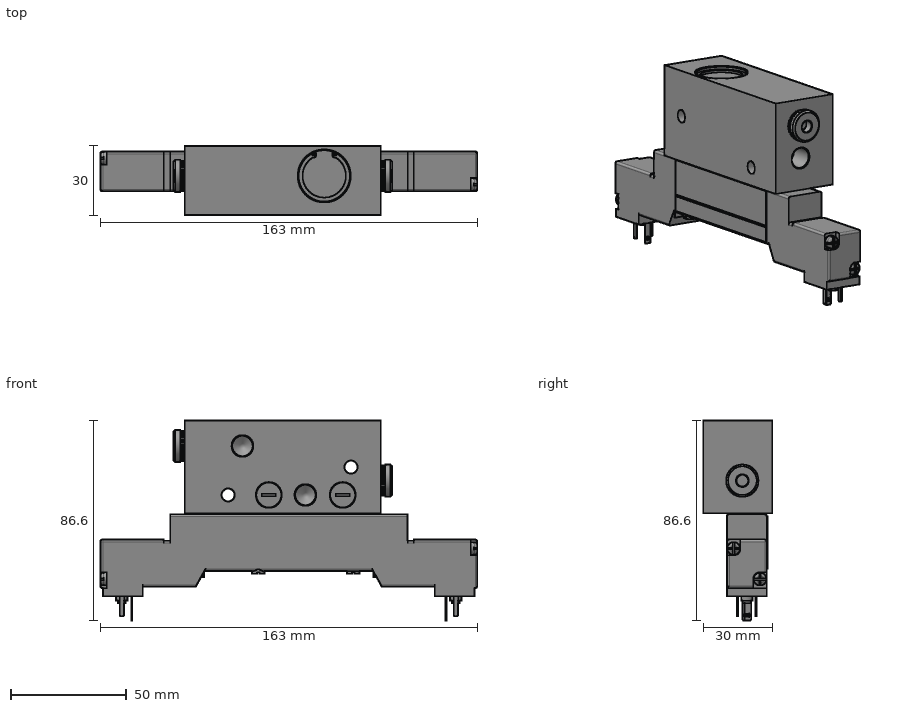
import cadquery as cq
import math


BLOCK_LEFT = -45.0
BLOCK_RIGHT = 39.8
BLOCK_DEPTH = 30.0
BLOCK_HEIGHT = 40.3
BLOCK_FRONT = -BLOCK_DEPTH / 2
PORT_AXIS_Y = 2.0
UPPER_AXIS_Z = 29.2
MIDDLE_AXIS_Z = 14.2
LOWER_AXIS_Z = 8.0

PORT_DIA = 8.8
PORT_RIM_DIA = 9.5
PORT_DEPTH = 11.4
PORT_TIP_ANGLE = 118
BOLT_HOLE_DIA = 5.5
BOLT_HOLES = ((-26.2, LOWER_AXIS_Z), (26.9, 20.0))
FRONT_PORTS = ((-20.0, UPPER_AXIS_Z), (7.2, LOWER_AXIS_Z))

FLUSH_PLUG_X = (-8.6, 23.3)
FLUSH_PLUG_DIA = 11.2
PLUG_GAP = 0.25
PLUG_GAP_DEPTH = 0.5
SLOT_LENGTH = 6.2
SLOT_WIDTH = 1.1
SLOT_DEPTH = 1.3

PLUG_HEAD_DIA = 14.0
PLUG_NECK_DIA = 13.2
PLUG_NECK_LENGTH = 2.0
PLUG_NECK_TEETH = 32
PLUG_TOOTH_DEPTH = 0.3
PLUG_HEAD_LENGTH = 3.0
PLUG_EDGE = 0.8
PLUG_SOCKET_DIA = 5.0
PLUG_SOCKET_RIM_DIA = 5.5
PLUG_SOCKET_DEPTH = 4.0

BORE_X = 15.3
BORE_RIM_DIA = 23.0
BORE_DIA = 22.2
BORE_DEPTH = 2.5
RING_INNER_DIA = 18.7
RING_THICKNESS = 1.0
RING_GAP_ANGLE = 54
RING_LUG_DIA = 2.5
RING_LUG_HOLE_DIA = 1.0

VALVE_FRONT = -4.7
VALVE_WIDTH = 17.3
VALVE_BACK = VALVE_FRONT + VALVE_WIDTH
VALVE_AXIS_Y = VALVE_FRONT + VALVE_WIDTH / 2
SHOULDER_X = 51.4
SHOULDER_TOP = -0.3
SHOULDER_BOTTOM = -31.8
SLOPE_OUTER_X = 40.3
SLOPE_INNER_X = 36.5
WAIST_X = 34.5
WAIST_BOTTOM = -25.0
EDGE_RADIUS = 1.0

BACK_PLATES = ((-16.6, -1.1), (-24.0, -17.3))
BACK_PLATE_THICKNESS = 0.5

LIP_THICKNESS = 0.7
LIP_BOTTOM = -27.5
BASE_SCREW_OFFSET_Y = 5.9
BASE_SCREWS = (
    (-13.2, VALVE_AXIS_Y - BASE_SCREW_OFFSET_Y),
    (27.9, VALVE_AXIS_Y + BASE_SCREW_OFFSET_Y),
)
BASE_SCREW_DIA = 5.5
BASE_SCREW_HEIGHT = 1.1
BASE_SLOT_WIDTH = 1.0
BASE_SLOT_DEPTH = 0.7

SOLENOID_END = 81.5
SOLENOID_TOP = -11.2
SOLENOID_BOTTOM = -31.8
COVER_BOTTOM = -32.3
CONNECTOR_OUTER_X = 80.4
CONNECTOR_INNER_X = 63.1
CONNECTOR_BOTTOM = -35.9
TOP_STEP_X = 54.1
TOP_STEP_Z = -11.7

CORNER_POCKET_WIDTH = 5.9
CORNER_POCKET_HEIGHT = 6.8
CORNER_POCKET_DEPTH = 2.8
CORNER_SCREW_DIA = 5.5
CORNER_SCREW_ROUNDING = 1.3
CROSS_WIDTH = 0.8
CROSS_DEPTH = 1.5

PIN_X = 72.2
PIN_SPACING = 8.0
PIN_WIDTH = 2.0
PIN_THICKNESS = 0.7
PIN_TIP = -44.5
BLADE_X = 68.0
BLADE_THICKNESS = 0.5
BLADE_WIDTH = 3.0
BLADE_OFFSET_Y = -0.5
BLADE_TIP = -46.3
BLADE_HOLE_DIA = 1.5
BLADE_HOLE_Z = -44.0
PIN_TIP_CHAMFER = 0.5
BOSS_STEPS = ((5.0, 1.8), (3.5, 3.0))

OVERLAP = 0.8


def box(x_range, y_range, z_range):
    """Box between the given x, y and z limits."""
    sizes = [abs(b - a) for a, b in (x_range, y_range, z_range)]
    low = [min(pair) for pair in (x_range, y_range, z_range)]
    return cq.Workplane("XY").box(*sizes, centered=False).translate(tuple(low))


def cylinder(diameter, length, base, direction):
    """Cylinder from a base point along a direction."""
    solid = cq.Solid.makeCylinder(diameter / 2, length, cq.Vector(*base), cq.Vector(*direction))
    return cq.Workplane(solid)


def rim_cone(rim_dia, hole_dia, base, direction):
    """45 degree countersink from a rim diameter down to the hole diameter."""
    depth = (rim_dia - hole_dia) / 2
    cone = cq.Solid.makeCone(rim_dia / 2, hole_dia / 2, depth, cq.Vector(*base), cq.Vector(*direction))
    return cq.Workplane(cone)


def drilled_hole(base, direction):
    """Port drill shape with a chamfered rim and a conical tip."""
    radius = PORT_DIA / 2
    tip_length = radius / math.tan(math.radians(PORT_TIP_ANGLE / 2))
    origin = cq.Vector(*base)
    axis = cq.Vector(*direction)
    cone = cq.Solid.makeCone(radius, 0, tip_length, origin + axis * PORT_DEPTH, axis)
    drill = cylinder(PORT_DIA, PORT_DEPTH, base, direction).union(cq.Workplane(cone))
    return drill.union(rim_cone(PORT_RIM_DIA, PORT_DIA, base, direction))


def manifold_block():
    block = box((BLOCK_LEFT, BLOCK_RIGHT), (BLOCK_FRONT, -BLOCK_FRONT), (0, BLOCK_HEIGHT))
    for x, z in FRONT_PORTS:
        block = block.cut(drilled_hole((x, BLOCK_FRONT, z), (0, 1, 0)))
    block = block.cut(drilled_hole((BLOCK_LEFT, PORT_AXIS_Y, MIDDLE_AXIS_Z), (1, 0, 0)))
    for x, z in BOLT_HOLES:
        block = block.cut(cylinder(BOLT_HOLE_DIA, BLOCK_DEPTH, (x, BLOCK_FRONT, z), (0, 1, 0)))
    for x in FLUSH_PLUG_X:
        block = block.cut(flush_plug_cut(x))
    bore_mouth = (BORE_X, PORT_AXIS_Y, BLOCK_HEIGHT)
    down = (0, 0, -1)
    block = block.cut(cylinder(BORE_DIA, BORE_DEPTH, bore_mouth, down))
    block = block.cut(rim_cone(BORE_RIM_DIA, BORE_DIA, bore_mouth, down))
    return block.union(retaining_ring(BLOCK_HEIGHT - BORE_DEPTH))


def flush_plug_cut(x):
    """Ring gap and screwdriver slot of a plug sitting flush in the front face."""
    base = (x, BLOCK_FRONT, LOWER_AXIS_Z)
    outer = cylinder(FLUSH_PLUG_DIA, PLUG_GAP_DEPTH, base, (0, 1, 0))
    inner = cylinder(FLUSH_PLUG_DIA - 2 * PLUG_GAP, PLUG_GAP_DEPTH, base, (0, 1, 0))
    slot = box(
        (x - SLOT_LENGTH / 2, x + SLOT_LENGTH / 2),
        (BLOCK_FRONT, BLOCK_FRONT + SLOT_DEPTH),
        (LOWER_AXIS_Z - SLOT_WIDTH / 2, LOWER_AXIS_Z + SLOT_WIDTH / 2),
    )
    return outer.cut(inner).union(slot)


def retaining_ring(floor_z):
    """Open ring on the bore floor, with its gap toward +Y and a lug at each end."""
    outer_radius = BORE_DIA / 2
    inner_radius = RING_INNER_DIA / 2
    half_gap = math.radians(RING_GAP_ANGLE / 2)
    reach = 2 * outer_radius
    gap = (
        cq.Workplane("XY")
        .moveTo(0, 0)
        .lineTo(-reach * math.sin(half_gap), reach * math.cos(half_gap))
        .lineTo(reach * math.sin(half_gap), reach * math.cos(half_gap))
        .close()
        .extrude(RING_THICKNESS)
    )
    ring = cq.Workplane("XY").circle(outer_radius).circle(inner_radius).extrude(RING_THICKNESS).cut(gap)
    lug_radius = (outer_radius + inner_radius) / 2
    lug_y = lug_radius * math.cos(half_gap)
    for lug_x in (-lug_radius * math.sin(half_gap), lug_radius * math.sin(half_gap)):
        ring = ring.union(cylinder(RING_LUG_DIA, RING_THICKNESS, (lug_x, lug_y, 0), (0, 0, 1)))
        ring = ring.cut(cylinder(RING_LUG_HOLE_DIA, RING_THICKNESS, (lug_x, lug_y, 0), (0, 0, 1)))
    return ring.translate((BORE_X, PORT_AXIS_Y, floor_z))


def serrated_neck():
    """Plug neck with V-shaped teeth running along its axis."""
    crest_radius = PLUG_NECK_DIA / 2
    root_radius = crest_radius - PLUG_TOOTH_DEPTH
    points = []
    for index in range(2 * PLUG_NECK_TEETH):
        radius = crest_radius if index % 2 == 0 else root_radius
        angle = math.pi * index / PLUG_NECK_TEETH
        points.append((radius * math.cos(angle), radius * math.sin(angle)))
    return cq.Workplane("XY").polyline(points).close().extrude(PLUG_NECK_LENGTH)


def screw_plug(face_x, z, side):
    """Screw plug standing on a block end; side is -1 for the left end, +1 for the right."""
    neck = serrated_neck()
    head = (
        cq.Workplane("XY", origin=(0, 0, PLUG_NECK_LENGTH))
        .circle(PLUG_HEAD_DIA / 2)
        .extrude(PLUG_HEAD_LENGTH)
        .faces(">Z")
        .chamfer(PLUG_EDGE)
    )
    socket_mouth = (0, 0, PLUG_NECK_LENGTH + PLUG_HEAD_LENGTH)
    down = (0, 0, -1)
    plug = (
        neck.union(head)
        .cut(cylinder(PLUG_SOCKET_DIA, PLUG_SOCKET_DEPTH, socket_mouth, down))
        .cut(rim_cone(PLUG_SOCKET_RIM_DIA, PLUG_SOCKET_DIA, socket_mouth, down))
    )
    return plug.rotate((0, 0, 0), (0, 1, 0), side * 90).translate((face_x, PORT_AXIS_Y, z))


def valve_body():
    outline = (
        (-SHOULDER_X, SHOULDER_TOP),
        (-SHOULDER_X, SHOULDER_BOTTOM),
        (-SLOPE_OUTER_X, SHOULDER_BOTTOM),
        (-SLOPE_INNER_X, WAIST_BOTTOM),
        (SLOPE_INNER_X, WAIST_BOTTOM),
        (SLOPE_OUTER_X, SHOULDER_BOTTOM),
        (SHOULDER_X, SHOULDER_BOTTOM),
        (SHOULDER_X, SHOULDER_TOP),
    )
    body = (
        cq.Workplane("XZ", origin=(0, VALVE_BACK, 0))
        .polyline(outline)
        .close()
        .extrude(VALVE_WIDTH)
        .edges("|X")
        .fillet(EDGE_RADIUS)
    )
    joint_y = (VALVE_FRONT + EDGE_RADIUS, VALVE_BACK - EDGE_RADIUS)
    body = body.union(box((-WAIST_X, WAIST_X), joint_y, (SHOULDER_TOP - OVERLAP, OVERLAP)))
    for bottom, top in BACK_PLATES:
        plate_y = (VALVE_BACK - OVERLAP, VALVE_BACK + BACK_PLATE_THICKNESS)
        body = body.union(box((-WAIST_X, WAIST_X), plate_y, (bottom, top)))
    for side in (-1, 1):
        lip_x = (side * SLOPE_INNER_X, side * (SLOPE_INNER_X + LIP_THICKNESS))
        body = body.union(box(lip_x, joint_y, (LIP_BOTTOM, WAIST_BOTTOM + OVERLAP)))
    for x, y in BASE_SCREWS:
        body = body.union(base_screw(x, y))
    return body


def base_screw(x, y):
    """Slotted screw head under the waist."""
    bottom = WAIST_BOTTOM - BASE_SCREW_HEIGHT
    head = cylinder(BASE_SCREW_DIA, BASE_SCREW_HEIGHT + OVERLAP, (x, y, bottom), (0, 0, 1))
    slot = box(
        (x - BASE_SLOT_WIDTH / 2, x + BASE_SLOT_WIDTH / 2),
        (y - BASE_SCREW_DIA / 2, y + BASE_SCREW_DIA / 2),
        (bottom, bottom + BASE_SLOT_DEPTH),
    )
    return head.cut(slot)


def solenoid():
    """Left solenoid with its cover screws, connector and pins."""
    valve_y = (VALVE_FRONT, VALVE_BACK)
    inner_x = -SHOULDER_X + OVERLAP
    end_cover = (
        box((-SOLENOID_END, -CONNECTOR_INNER_X), valve_y, (COVER_BOTTOM, SOLENOID_TOP))
        .faces("<X or >Z")
        .edges("not(>X)")
        .fillet(EDGE_RADIUS)
    )
    coil_x = (-CONNECTOR_INNER_X - OVERLAP, -TOP_STEP_X)
    coil = box(coil_x, valve_y, (SOLENOID_BOTTOM, SOLENOID_TOP)).edges("|X").fillet(EDGE_RADIUS)
    neck_x = (-TOP_STEP_X - OVERLAP, inner_x)
    neck = box(neck_x, valve_y, (SOLENOID_BOTTOM, TOP_STEP_Z)).edges("|X").fillet(EDGE_RADIUS)
    connector_x = (-CONNECTOR_OUTER_X, -CONNECTOR_INNER_X)
    connector = box(connector_x, valve_y, (CONNECTOR_BOTTOM, SOLENOID_BOTTOM + OVERLAP))
    body = end_cover.union(coil).union(neck).union(connector)
    body = corner_screw(body, VALVE_BACK, SOLENOID_TOP, -1, -1)
    body = corner_screw(body, VALVE_FRONT, COVER_BOTTOM, 1, 1)
    return body.union(connector_pins())


def corner_screw(body, corner_y, corner_z, y_step, z_step):
    """Round-cornered pocket of the cover with a cross-slotted screw head standing in it."""
    pocket_radius = CORNER_POCKET_WIDTH / 2
    pocket_x = (-SOLENOID_END, -SOLENOID_END + CORNER_POCKET_DEPTH)
    pocket_y = (corner_y, corner_y + y_step * CORNER_POCKET_WIDTH)
    pocket_z = (corner_z, corner_z + z_step * CORNER_POCKET_HEIGHT)
    centre_y = sum(pocket_y) / 2
    centre_z = pocket_z[1] - z_step * pocket_radius
    screw_base = (-SOLENOID_END, centre_y, centre_z)
    round_end = cylinder(CORNER_POCKET_WIDTH, CORNER_POCKET_DEPTH, screw_base, (1, 0, 0))
    outer_part = box(pocket_x, pocket_y, (corner_z, centre_z))
    side_part = box(pocket_x, (corner_y, centre_y), pocket_z)
    pocket = round_end.union(outer_part).union(side_part)
    head = cylinder(CORNER_SCREW_DIA, CORNER_POCKET_DEPTH + OVERLAP, screw_base, (1, 0, 0))
    head = head.faces("<X").edges().fillet(CORNER_SCREW_ROUNDING)
    cross_x = (-SOLENOID_END, -SOLENOID_END + CROSS_DEPTH)
    half_width = CROSS_WIDTH / 2
    upright = box(cross_x, (centre_y - half_width, centre_y + half_width), pocket_z)
    level = box(cross_x, pocket_y, (centre_z - half_width, centre_z + half_width))
    return body.cut(pocket).union(head.cut(upright).cut(level))


def connector_pins():
    """Two flat pins, the wide contact blade and the stepped boss under the connector."""
    root_z = CONNECTOR_BOTTOM + OVERLAP
    blade_y = VALVE_AXIS_Y + BLADE_OFFSET_Y
    hole_base = (-BLADE_X - BLADE_THICKNESS, blade_y, BLADE_HOLE_Z)
    pins = (
        box(
            (-BLADE_X - BLADE_THICKNESS / 2, -BLADE_X + BLADE_THICKNESS / 2),
            (blade_y - BLADE_WIDTH / 2, blade_y + BLADE_WIDTH / 2),
            (BLADE_TIP, root_z),
        )
        .faces("<Z")
        .edges("|X")
        .chamfer(PIN_TIP_CHAMFER)
        .cut(cylinder(BLADE_HOLE_DIA, 2 * BLADE_THICKNESS, hole_base, (1, 0, 0)))
    )
    for side in (-1, 1):
        pin_y = VALVE_AXIS_Y + side * PIN_SPACING / 2
        pin = box(
            (-PIN_X - PIN_WIDTH / 2, -PIN_X + PIN_WIDTH / 2),
            (pin_y - PIN_THICKNESS / 2, pin_y + PIN_THICKNESS / 2),
            (PIN_TIP, root_z),
        )
        pins = pins.union(pin.faces("<Z").edges("|Y").chamfer(PIN_TIP_CHAMFER))
    for diameter, length in BOSS_STEPS:
        pins = pins.union(cylinder(diameter, length + OVERLAP, (-PIN_X, VALVE_AXIS_Y, root_z), (0, 0, -1)))
    return pins


left_solenoid = solenoid()
right_solenoid = left_solenoid.rotate((0, VALVE_AXIS_Y, 0), (0, VALVE_AXIS_Y, 1), 180)

result = (
    manifold_block()
    .union(valve_body())
    .union(left_solenoid)
    .union(right_solenoid)
    .union(screw_plug(BLOCK_LEFT, UPPER_AXIS_Z, -1))
    .union(screw_plug(BLOCK_RIGHT, MIDDLE_AXIS_Z, 1))
)